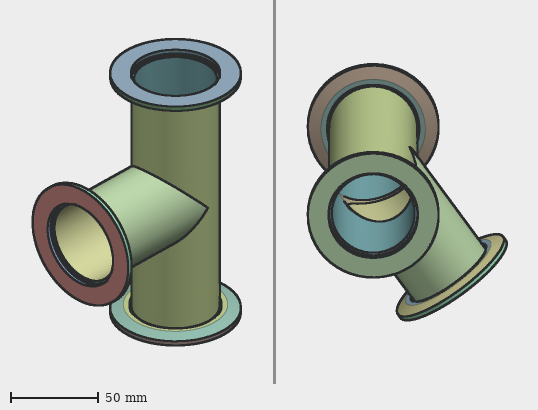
import cadquery as cq

run_length = 160.0
branch_reach = 80.0

tube_outer_radius = 50.7 / 2
tube_inner_radius = 47.5 / 2
tube_setback = 3.8

flange_radius = 75.0 / 2
flange_thickness = 5.0
rim_thickness = 2.9
hub_radius = 30.0
mouth_radius = 51.2 / 2
seat_radius = 51.0 / 2
relief_radius = 53.0 / 2
seat_start = 2.5
relief_depth = 0.8

run_axis = cq.Vector(0, 0, 1)
branch_axis = cq.Vector(0, -1, 0)


def make_cylinder(radius, length, start, direction):
    """Solid cylinder that begins at a distance along an axis through the tee centre."""
    return cq.Workplane(cq.Solid.makeCylinder(radius, length, direction * start, direction))


def make_run_tube():
    """Straight vertical tube, opened on its -Y side into the branch."""
    length = run_length - 2 * tube_setback
    tube = make_cylinder(tube_outer_radius, length, -length / 2, run_axis)
    tube = tube.cut(make_cylinder(tube_inner_radius, length, -length / 2, run_axis))
    return tube.cut(make_cylinder(tube_inner_radius, branch_reach, 0, branch_axis))


def make_branch_tube():
    """Side tube whose inner end is coped to the outside of the run tube."""
    length = branch_reach - tube_setback
    tube = make_cylinder(tube_outer_radius, length, 0, branch_axis)
    tube = tube.cut(make_cylinder(tube_inner_radius, length, 0, branch_axis))
    return tube.cut(make_cylinder(tube_outer_radius, run_length, -run_length / 2, run_axis))


def make_flange(face_distance, outward):
    """Conical-backed ring with its sealing face at a distance along the outward axis."""
    profile = [
        (mouth_radius, 0),
        (flange_radius, 0),
        (flange_radius, -rim_thickness),
        (hub_radius, -flange_thickness),
        (relief_radius, -flange_thickness),
        (relief_radius, relief_depth - flange_thickness),
        (seat_radius, relief_depth - flange_thickness),
        (seat_radius, -seat_start),
        (mouth_radius, -seat_start),
    ]
    face_plane = cq.Plane(origin=outward * face_distance, xDir=(1, 0, 0), normal=outward)
    section_plane = cq.Plane(origin=face_plane.origin, xDir=face_plane.xDir, normal=-face_plane.yDir)
    section = cq.Workplane(section_plane).polyline(profile).close()
    return section.revolve(360, (0, 0, 0), (0, 1, 0))


run_tube = make_run_tube()
branch_tube = make_branch_tube()

flange_places = [
    (run_length / 2, run_axis),
    (run_length / 2, -run_axis),
    (branch_reach, branch_axis),
]
flanges = [make_flange(distance, outward).val() for distance, outward in flange_places]

result = cq.Compound.makeCompound([run_tube.val(), branch_tube.val(), *flanges])